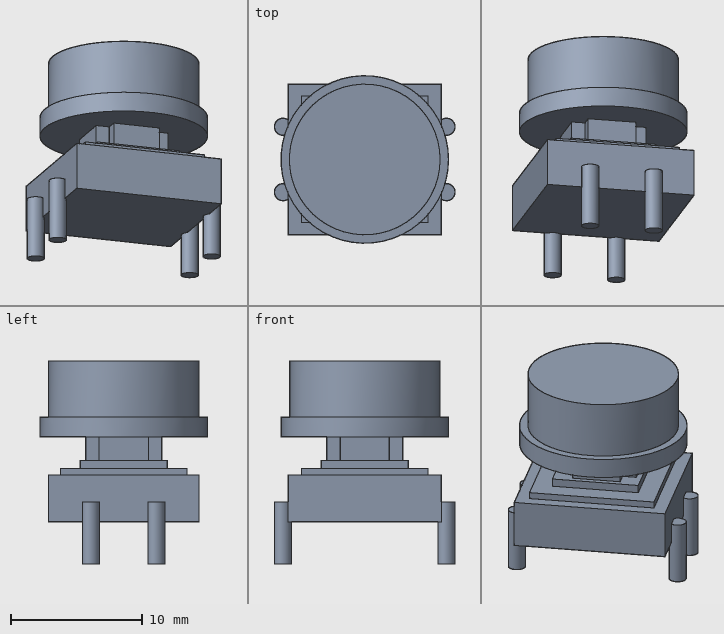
import cadquery as cq

total_height = 15.5
pin_exposed_length = 3.21
housing_height = 3.6
lower_step_height = 0.5
upper_step_height = 0.6
plunger_height = 1.8
flange_height = 1.5

housing_bottom = pin_exposed_length
housing_top = housing_bottom + housing_height
lower_step_top = housing_top + lower_step_height
upper_step_top = lower_step_top + upper_step_height
plunger_top = upper_step_top + plunger_height
flange_top = plunger_top + flange_height

housing_length = 11.7
housing_width = 11.5
lower_step_side = 9.65
upper_step_side = 6.66

plunger_side = 3.75

pin_diameter = 1.32
pin_length = 4.75
pin_outer_span = 13.8
pin_pitch = 4.99
pin_x = (pin_outer_span - pin_diameter) / 2
pin_y = pin_pitch / 2

cap_diameter = 11.5
flange_diameter = 12.8
cross_span = 5.81
x_tab_width = plunger_side
y_tab_width = 3.69


def block(length, width, bottom, top):
    """Rectangular block centred on the Z axis between two heights."""
    return cq.Workplane("XY", origin=(0, 0, bottom)).rect(length, width).extrude(top - bottom)


def disc(diameter, bottom, top):
    """Round disc centred on the Z axis between two heights."""
    return cq.Workplane("XY", origin=(0, 0, bottom)).circle(diameter / 2).extrude(top - bottom)


def make_pin(x, y):
    """Upright round pin with its tip at Z = 0."""
    return cq.Workplane("XY").center(x, y).circle(pin_diameter / 2).extrude(pin_length)


def make_switch():
    """Housing with its steps, plunger and four pins, as one solid."""
    switch = block(housing_length, housing_width, housing_bottom, housing_top)
    switch = switch.union(block(lower_step_side, lower_step_side, housing_top, lower_step_top))
    switch = switch.union(block(upper_step_side, upper_step_side, lower_step_top, upper_step_top))
    switch = switch.union(block(plunger_side, plunger_side, upper_step_top, plunger_top))
    for x in (-pin_x, pin_x):
        for y in (-pin_y, pin_y):
            switch = switch.union(make_pin(x, y))
    return switch


def make_tabs():
    """Cross of four tabs under the flange, opened in the middle for the plunger."""
    x_bar = block(cross_span, x_tab_width, upper_step_top, plunger_top)
    y_bar = block(y_tab_width, cross_span, upper_step_top, plunger_top)
    opening = block(plunger_side, plunger_side, upper_step_top, plunger_top)
    return x_bar.union(y_bar).cut(opening)


def make_cap():
    """Round cap with a flange at its foot, resting on the plunger, with the tabs below."""
    flange = disc(flange_diameter, plunger_top, flange_top)
    crown = disc(cap_diameter, flange_top, total_height)
    return flange.union(crown).union(make_tabs())


switch = make_switch()
cap = make_cap()

result = cq.Compound.makeCompound([switch.val(), cap.val()])